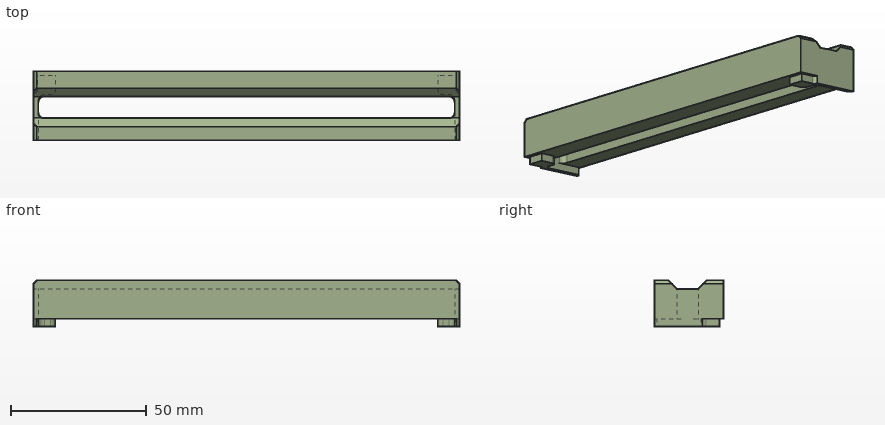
import cadquery as cq

length = 156.89
width = 25.5
height = 17.07

end_chamfer = 1.265

groove_depth = 3.2
groove_front = 5.08
groove_back = 19.3
floor_front = groove_front + groove_depth
floor_back = groove_back - groove_depth

end_wall = 1.87
slot_radius = 1.9

foot_height = 2.85
foot_length = 8.1
foot_front = 17.0
foot_back = 24.0
foot_round = 1.9
foot_fillet = 2.1

lip_bevel = 0.9

notch_start = 17.6
notch_depth = 1.4
notch_radius = 2.53 / 2


def make_body():
    """Bar with bevelled top ends."""
    half_length = length / 2
    profile = [
        (-half_length, foot_height),
        (half_length, foot_height),
        (half_length, height - end_chamfer),
        (half_length - end_chamfer, height),
        (-half_length + end_chamfer, height),
        (-half_length, height - end_chamfer),
    ]
    return cq.Workplane("XZ").polyline(profile).close().extrude(-width)


def make_groove():
    """Trapezoidal groove running the whole length."""
    floor = height - groove_depth
    profile = [
        (groove_front, height),
        (floor_front, floor),
        (floor_back, floor),
        (groove_back, height),
    ]
    return cq.Workplane("YZ").polyline(profile).close().extrude(length / 2, both=True)


def make_slot():
    """Round-cornered slot as wide as the groove floor, through the full height."""
    return (
        cq.Workplane("XY")
        .center(0, (floor_front + floor_back) / 2)
        .rect(length - 2 * end_wall, floor_back - floor_front)
        .extrude(height)
        .edges("|Z")
        .fillet(slot_radius)
    )


def make_left_foot():
    """Foot block at the back, joined to a lip along the end face."""
    end = -length / 2
    lip_inner = end + end_wall
    foot_inner = end + foot_length
    notch_inner = end + notch_depth
    return (
        cq.Workplane("XY")
        .moveTo(end, 0)
        .lineTo(lip_inner - lip_bevel, 0)
        .lineTo(lip_inner, lip_bevel)
        .lineTo(lip_inner, foot_front - foot_fillet)
        .radiusArc((lip_inner + foot_fillet, foot_front), foot_fillet)
        .lineTo(foot_inner - foot_round, foot_front)
        .radiusArc((foot_inner, foot_front + foot_round), -foot_round)
        .lineTo(foot_inner, foot_back)
        .lineTo(notch_inner, foot_back)
        .lineTo(notch_inner, notch_start + notch_radius)
        .radiusArc((notch_inner - notch_radius, notch_start), notch_radius)
        .lineTo(end, notch_start)
        .close()
        .extrude(foot_height)
    )


left_foot = make_left_foot()
result = (
    make_body()
    .cut(make_groove())
    .cut(make_slot())
    .union(left_foot)
    .union(left_foot.mirror("YZ"))
)